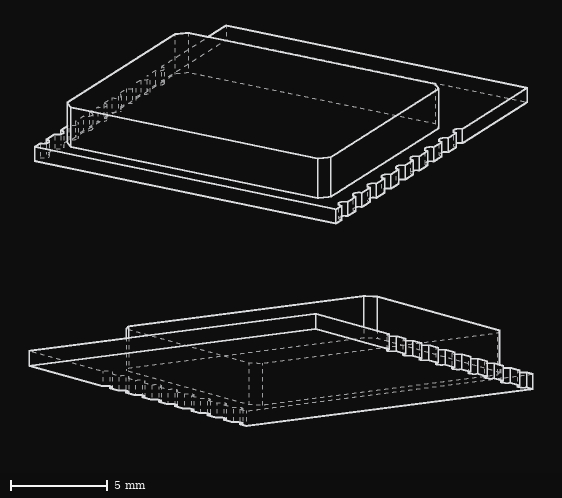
import cadquery as cq

board_width = 18.0
board_length = 20.0
board_thickness = 0.8

total_height = 3.0
can_width = 15.75
can_length = 12.28
can_front_margin = 0.92
can_corner_chamfer = 0.5
can_height = total_height - board_thickness

notch_count = 9
notch_pitch = 1.5
notch_radius = 0.32
first_notch_margin = 0.9


def make_board():
    """Flat board centred on X and Y, with its underside at Z = 0."""
    return cq.Workplane("XY").box(
        board_width, board_length, board_thickness, centered=(True, True, False)
    )


def make_can():
    """Shield can with chamfered vertical corners, standing on the board."""
    can_center_y = -board_length / 2 + can_front_margin + can_length / 2
    return (
        cq.Workplane("XY", origin=(0, can_center_y, board_thickness))
        .rect(can_width, can_length)
        .extrude(can_height)
        .edges("|Z")
        .chamfer(can_corner_chamfer)
    )


def make_notches():
    """Cylinders centred on the left and right board edges, through the board."""
    first_y = -board_length / 2 + first_notch_margin
    centers = [
        (side * board_width / 2, first_y + index * notch_pitch)
        for side in (-1, 1)
        for index in range(notch_count)
    ]
    return cq.Workplane("XY").pushPoints(centers).circle(notch_radius).extrude(board_thickness)


result = make_board().cut(make_notches()).union(make_can())